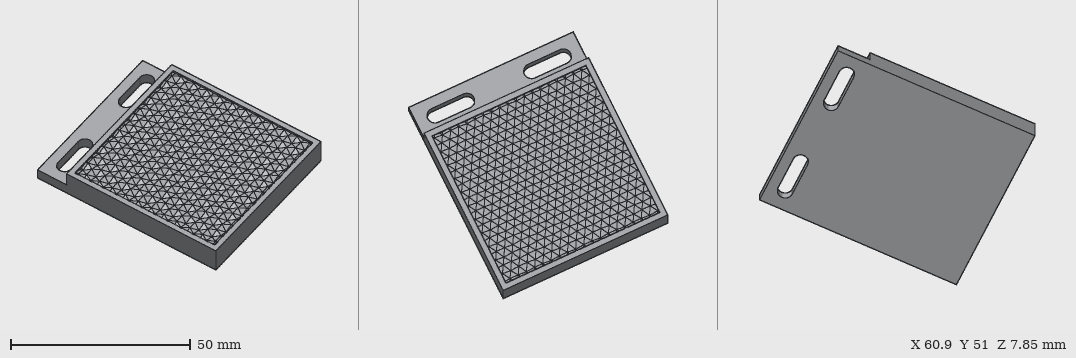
import cadquery as cq
import math

total_length = 60.9
width = 51.0
height = 7.85

tab_height = 3.35
slot_length = 14.25
slot_width = 4.4
slot_center_x = 5.3
slot_spacing = 29.9

field_size = 47.6
rim_height = 0.3
rows_across = 12.5
hexagon_sides = 6
prism_depth = 0.8

tab_length = total_length - width
field_center_x = tab_length + width / 2
ridge_z = height - rim_height
row_pitch = field_size / rows_across
prism_radius = row_pitch * 2 / 3
prism_pitch = prism_radius * math.sqrt(3)


def make_base():
    """Thick square body with the thin mounting tab on its -X side."""
    body = cq.Workplane("XY").box(width, width, height, centered=(False, True, False))
    tab = cq.Workplane("XY").box(tab_length, width, tab_height, centered=(False, True, False))
    return tab.union(body.translate((tab_length, 0, 0)))


def cut_slots(part):
    """Two rounded slots through the tab, long in Y."""
    slots = (
        cq.Workplane("XY")
        .pushPoints([(slot_center_x, -slot_spacing / 2), (slot_center_x, slot_spacing / 2)])
        .slot2D(slot_length, slot_width, 90)
        .extrude(tab_height)
    )
    return part.cut(slots)


def make_prism_pit():
    """Six-sided pyramid, apex down, with its base at z = 0 and two corners on the Y axis."""
    angles = [math.tau * (i + 0.5) / hexagon_sides for i in range(hexagon_sides)]
    corners = [cq.Vector(prism_radius * math.cos(a), prism_radius * math.sin(a), 0) for a in angles]
    apex = cq.Vector(0, 0, -prism_depth)
    faces = [cq.Face.makeFromWires(cq.Wire.makePolygon(corners, close=True))]
    for i in range(hexagon_sides):
        triangle = cq.Wire.makePolygon([corners[i - 1], corners[i], apex], close=True)
        faces.append(cq.Face.makeFromWires(triangle))
    return cq.Solid.makeSolid(cq.Shell.makeShell(faces))


def prism_centers():
    """Honeycomb centers covering the field, balanced about its middle; alternate rows are staggered."""
    columns = math.ceil(field_size / prism_pitch / 2)
    rows = math.ceil(rows_across / 2)
    centers = []
    for row in range(-rows, rows):
        stagger = prism_pitch / 4 if row % 2 else -prism_pitch / 4
        y = (row + 0.5) * row_pitch
        for column in range(-columns, columns + 1):
            centers.append((field_center_x + column * prism_pitch + stagger, y))
    return centers


def cut_prism_field(part):
    """Recess the field below the rim, then sink the prism pits into its floor."""
    field = (
        cq.Workplane("XY")
        .center(field_center_x, 0)
        .rect(field_size, field_size)
        .extrude(height)
    )
    pit = make_prism_pit()
    pits = [pit.translate(cq.Vector(x, y, ridge_z)) for x, y in prism_centers()]
    pits_in_field = cq.Workplane(cq.Compound.makeCompound(pits)).intersect(field)
    return part.cut(field.translate((0, 0, ridge_z))).cut(pits_in_field)


result = cut_prism_field(cut_slots(make_base()))